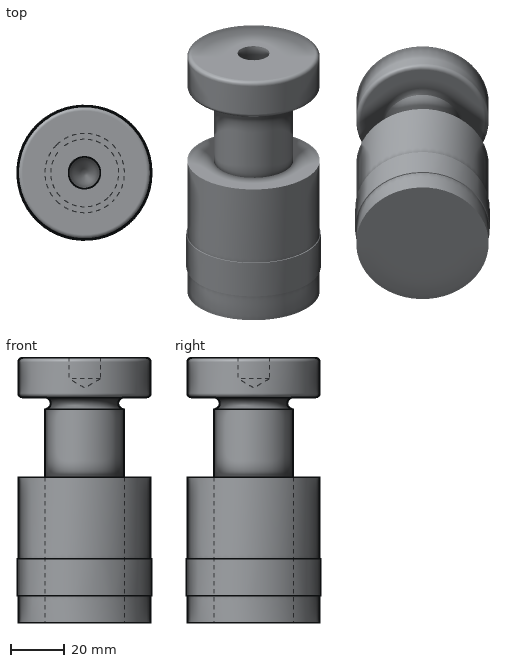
import cadquery as cq
import math

total_height = 100.0

housing_diameter = 50.0
housing_height = 55.0
band_diameter = 50.8
band_bottom = 10.2
band_height = 14.0

head_diameter = housing_diameter
head_height = 15.0
head_fillet = 1.6
shank_diameter = 30.0

relief_radius = 2.2
relief_center_radius = shank_diameter / 2
head_underside = total_height - head_height
relief_center_height = head_underside - relief_radius

hole_diameter = 12.0
hole_depth = 7.8
drill_tip_angle = 120.0


def make_housing():
    body = cq.Workplane("XY").circle(housing_diameter / 2).extrude(housing_height)
    band = (
        cq.Workplane("XY")
        .workplane(offset=band_bottom)
        .circle(band_diameter / 2)
        .extrude(band_height)
    )
    bore = cq.Workplane("XY").circle(shank_diameter / 2).extrude(housing_height)
    return body.union(band).cut(bore)


def make_drill():
    """Cylinder with a conical tip, reaching down from the top of the head."""
    hole_radius = hole_diameter / 2
    tip_height = hole_radius / math.tan(math.radians(drill_tip_angle / 2))
    hole_bottom = total_height - hole_depth
    return (
        cq.Workplane("XZ")
        .moveTo(0, total_height)
        .lineTo(hole_radius, total_height)
        .lineTo(hole_radius, hole_bottom)
        .lineTo(0, hole_bottom - tip_height)
        .close()
        .revolve(360, (0, 0, 0), (0, 1, 0))
    )


def make_relief():
    """Ring of round section, removed from the top of the shank."""
    return (
        cq.Workplane("XZ")
        .center(relief_center_radius, relief_center_height)
        .circle(relief_radius)
        .revolve(360, (-relief_center_radius, 0, 0), (-relief_center_radius, 1, 0))
    )


def make_plunger():
    head = (
        cq.Workplane("XY")
        .workplane(offset=head_underside)
        .circle(head_diameter / 2)
        .extrude(head_height)
        .edges()
        .fillet(head_fillet)
    )
    shank = (
        cq.Workplane("XY")
        .circle(shank_diameter / 2)
        .extrude(head_underside)
        .cut(make_relief())
    )
    return head.union(shank).cut(make_drill())


housing = make_housing()
plunger = make_plunger()

result = cq.Compound.makeCompound([housing.val(), plunger.val()])